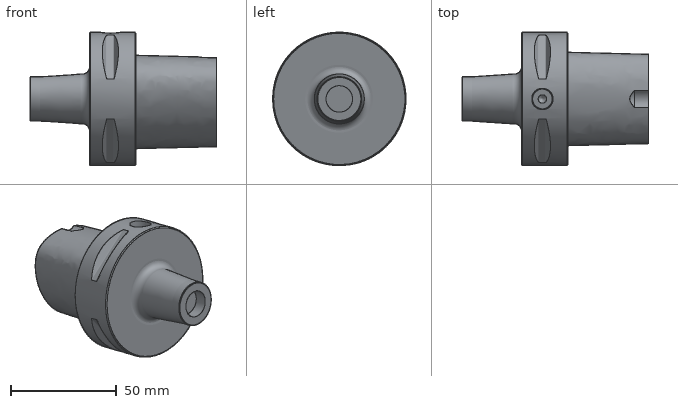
import cadquery as cq
import math

TOTAL_LENGTH = 88.0

NOSE_TIP_DIAMETER = 21.0
NOSE_TIP_RADIUS = NOSE_TIP_DIAMETER / 2
NOSE_TIP_LENGTH = 4.8
NOSE_TIP_CHAMFER = 0.35
NOSE_ROOT_RADIUS = 11.8
TAPER_END = 23.85
FILLET_START = 24.7
FILLET_RADIUS = 3.3
BORE_DIAMETER = 12.5
BORE_DEPTH = 6.2

FLANGE_RADIUS = 31.5
FLANGE_START = 28.0
FLANGE_END = 50.0
FLANGE_CHAMFER = 0.5
RECESS_FLOOR_RADIUS = 15.0
RECESS_RIM_RADIUS = 16.0

RIM_FEATURE_X = 37.9
GROOVE_FLOOR_DISTANCE = 27.9
GROOVE_FLOOR_WIDTH = 3.4
GROOVE_FLOOR_FILLET = 0.5
GROOVE_MOUTH_WIDTH = 7.7
GROOVE_ANGLES = (45, 135, 225, 315)
POCKET_DIAMETER = 10.0
POCKET_FLOOR_BEVEL = 0.35
POCKET_DEPTH = 5.3
DRILL_DIAMETER = 4.0
DRILL_POINT_ANGLE = 118

SHANK_BASE_RADIUS = 22.1
SHANK_TAPER_RATIO = 1 / 40
LOBE_HEIGHT = 2.9
LOBE_OFFSET = LOBE_HEIGHT / 2
SHANK_OVERLAP = 1.8
OUTLINE_POINTS = 72

NOTCH_DIAMETER = 10.3
NOTCH_START = 81.4
NOTCH_AXIS_Z = 22.8


def make_turned_body():
    """Nose, recess and flange as one revolved profile (axial position, radius)."""
    arc_center_radius = NOSE_ROOT_RADIUS + FILLET_RADIUS
    sweep = math.acos((arc_center_radius - RECESS_FLOOR_RADIUS) / FILLET_RADIUS)

    def fillet_point(angle):
        return (
            FILLET_START + FILLET_RADIUS * math.sin(angle),
            arc_center_radius - FILLET_RADIUS * math.cos(angle),
        )

    profile = (
        cq.Workplane("XY")
        .moveTo(0, 0)
        .lineTo(0, NOSE_TIP_RADIUS - NOSE_TIP_CHAMFER)
        .lineTo(NOSE_TIP_CHAMFER, NOSE_TIP_RADIUS)
        .lineTo(NOSE_TIP_LENGTH, NOSE_TIP_RADIUS)
        .lineTo(TAPER_END, NOSE_ROOT_RADIUS)
        .lineTo(FILLET_START, NOSE_ROOT_RADIUS)
        .threePointArc(fillet_point(sweep / 2), fillet_point(sweep))
        .lineTo(FLANGE_START, RECESS_RIM_RADIUS)
        .lineTo(FLANGE_START, FLANGE_RADIUS - FLANGE_CHAMFER)
        .lineTo(FLANGE_START + FLANGE_CHAMFER, FLANGE_RADIUS)
        .lineTo(FLANGE_END - FLANGE_CHAMFER, FLANGE_RADIUS)
        .lineTo(FLANGE_END, FLANGE_RADIUS - FLANGE_CHAMFER)
        .lineTo(FLANGE_END, 0)
        .close()
    )
    return profile.revolve(360, (0, 0, 0), (1, 0, 0))


def shank_outline(x):
    """Closed three-lobed outline in the YZ plane at axial position x."""
    radius = SHANK_BASE_RADIUS - (x - FLANGE_END) * SHANK_TAPER_RATIO
    points = []
    for i in range(OUTLINE_POINTS):
        t = 2 * math.pi * i / OUTLINE_POINTS
        z = radius * math.cos(t) - LOBE_OFFSET * (2 * math.cos(2 * t) - math.cos(4 * t))
        y = radius * math.sin(t) + LOBE_OFFSET * (2 * math.sin(2 * t) + math.sin(4 * t))
        points.append(cq.Vector(x, y, z))
    return cq.Wire.assembleEdges([cq.Edge.makeSpline(points, periodic=True)])


def make_shank():
    start = FLANGE_END - SHANK_OVERLAP
    return cq.Solid.makeLoft([shank_outline(start), shank_outline(TOTAL_LENGTH)], True)


def make_bore():
    return cq.Workplane("YZ").circle(BORE_DIAMETER / 2).extrude(BORE_DEPTH)


def make_groove(angle):
    """Flat-bottomed, flared groove across the rim, turned about the X axis."""
    depth = FLANGE_RADIUS - GROOVE_FLOOR_DISTANCE
    floor_half = GROOVE_FLOOR_WIDTH / 2
    mouth_half = GROOVE_MOUTH_WIDTH / 2
    groove = (
        cq.Workplane("XZ")
        .polyline([
            (RIM_FEATURE_X - floor_half, GROOVE_FLOOR_DISTANCE),
            (RIM_FEATURE_X + floor_half, GROOVE_FLOOR_DISTANCE),
            (RIM_FEATURE_X + mouth_half, GROOVE_FLOOR_DISTANCE + depth),
            (RIM_FEATURE_X - mouth_half, GROOVE_FLOOR_DISTANCE + depth),
        ])
        .close()
        .extrude(FLANGE_RADIUS, both=True)
        .faces("<Z")
        .edges("|Y")
        .fillet(GROOVE_FLOOR_FILLET)
    )
    return groove.rotate((0, 0, 0), (1, 0, 0), angle)


def make_rim_pocket():
    """Round pocket in the top of the rim with a beveled floor edge and a drill-point dimple."""
    radius = POCKET_DIAMETER / 2
    drill_radius = DRILL_DIAMETER / 2
    floor_z = FLANGE_RADIUS - POCKET_DEPTH
    tip_z = floor_z - drill_radius / math.tan(math.radians(DRILL_POINT_ANGLE / 2))
    profile = (
        cq.Workplane("XZ", origin=(RIM_FEATURE_X, 0, 0))
        .polyline([
            (0, tip_z),
            (drill_radius, floor_z),
            (radius - POCKET_FLOOR_BEVEL, floor_z),
            (radius, floor_z + POCKET_FLOOR_BEVEL),
            (radius, FLANGE_RADIUS),
            (0, FLANGE_RADIUS),
        ])
        .close()
    )
    return profile.revolve(360, (0, 0, 0), (0, 1, 0))


def make_notch():
    """Round channel open to the rear face, closed by a 45 degree conical end."""
    radius = NOTCH_DIAMETER / 2
    profile = (
        cq.Workplane("XZ", origin=(0, 0, NOTCH_AXIS_Z))
        .polyline([
            (NOTCH_START - radius, 0),
            (NOTCH_START, radius),
            (TOTAL_LENGTH, radius),
            (TOTAL_LENGTH, 0),
        ])
        .close()
    )
    return profile.revolve(360, (0, 0, 0), (1, 0, 0))


result = make_turned_body().union(make_shank()).cut(make_bore())
for groove_angle in GROOVE_ANGLES:
    result = result.cut(make_groove(groove_angle))
result = result.cut(make_rim_pocket()).cut(make_notch())